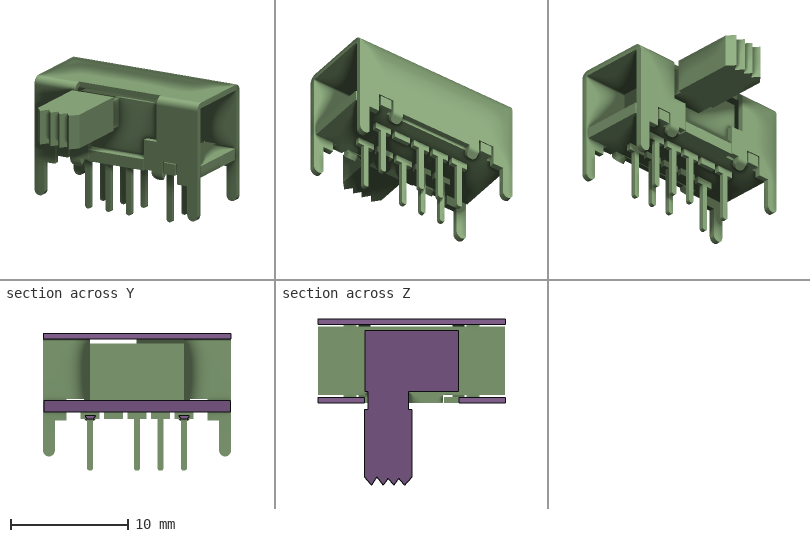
import cadquery as cq
import math


SHELL_LENGTH = 16.0
SHELL_WIDTH = 7.2
SHELL_TOP = 6.7
SHEET = 0.5
BEND_INSIDE = 0.15
BEND_OUTSIDE = BEND_INSIDE + SHEET
OUTER_Y = SHELL_WIDTH / 2
INNER_Y = OUTER_Y - SHEET

LEG_WIDTH = 1.0
LEG_END = -3.8
SHOULDER_Z = -0.75
NOTCH_INNER_X = 4.5
NOTCH_OUTER_X = 6.0
NOTCH_TOP = 1.1
SKIRT_BOTTOM = 0.1

WINDOW_LENGTH = 8.0
WINDOW_SILL = 2.75
WINDOW_DEPTH = 0.7
THROAT_LENGTH = 5.5

EAR_WIDTH = 1.0
EAR_X = NOTCH_INNER_X - EAR_WIDTH / 2
EAR_BEND_Z = -0.02
EAR_LENGTH = 0.6
EAR_ANGLE = 45
EAR_CORNER_RADIUS = 0.4

BASE_LENGTH = 15.9
BASE_WIDTH = 5.8
BASE_HEIGHT = 1.0
TAB_REACH = OUTER_Y
CENTRE_TAB_LENGTH = 5.4
SIDE_TAB_LENGTH = 1.1
SIDE_TAB_X = (NOTCH_INNER_X + NOTCH_OUTER_X) / 2

BLOCK_LENGTH = 8.0
BLOCK_WIDTH = 5.2
BLOCK_TOP = 5.8
KNOB_X = -2.0
KNOB_LENGTH = 4.05
KNOB_BOTTOM = 3.25
KNOB_TOP = 6.25
KNOB_START_Y = -4.1
KNOB_TIP_Y = -10.6
STEM_LENGTH = 3.5
STEM_TOP = 5.75
TOOTH_DEPTH = 0.7
SHALLOW_VALLEY_DEPTH = 0.58
TOOTH_TIPS = (0.6, 1.6, 2.5, 3.42)
TOOTH_VALLEYS = (1.06, 2.02, 2.92)

PIN_PITCH = 2.0
PIN_ROW_Y = 1.25
PIN_THICKNESS = 0.4
PIN_WIDTH = 0.5
PIN_END = -5.0
PIN_TIP_RADIUS = 0.2
FLANGE_WIDTH = 1.6
FLANGE_DEPTH = 0.6
FLANGE_COLUMNS = (-2, -1, 0, 1, 2)
PIN_COLUMNS = (-2, -1, 0, 2)


def box(x_range, y_range, z_range):
    """A box between two coordinates along each axis."""
    corner = (x_range[0], y_range[0], z_range[0])
    size = (x_range[1] - x_range[0], y_range[1] - y_range[0], z_range[1] - z_range[0])
    return cq.Workplane("XY").box(*size, centered=False).translate(corner)


def bent_sheet():
    """The sheet folded into an upside-down U, down to the leg ends."""
    height = SHELL_TOP - LEG_END
    outside = (
        box((-SHELL_LENGTH / 2, SHELL_LENGTH / 2), (-OUTER_Y, OUTER_Y), (LEG_END, SHELL_TOP))
        .edges("|X and >Z")
        .fillet(BEND_OUTSIDE)
    )
    inside = (
        cq.Workplane("XY")
        .box(SHELL_LENGTH, 2 * INNER_Y, height, centered=(True, True, False))
        .translate((0, 0, LEG_END - SHEET))
        .edges("|X and >Z")
        .fillet(BEND_INSIDE)
    )
    return outside.cut(inside)


def wall_outline():
    """The side wall's outline: round-ended legs, shoulders, notches and the skirt."""
    end = SHELL_LENGTH / 2
    leg_inner = end - LEG_WIDTH
    leg_centre = end - LEG_WIDTH / 2
    leg_round = LEG_END + LEG_WIDTH / 2
    return (
        cq.Workplane("XZ")
        .moveTo(-end, SHELL_TOP)
        .lineTo(-end, leg_round)
        .threePointArc((-leg_centre, LEG_END), (-leg_inner, leg_round))
        .lineTo(-leg_inner, SHOULDER_Z)
        .lineTo(-NOTCH_OUTER_X, SHOULDER_Z)
        .lineTo(-NOTCH_OUTER_X, NOTCH_TOP)
        .lineTo(-NOTCH_INNER_X, NOTCH_TOP)
        .lineTo(-NOTCH_INNER_X, SKIRT_BOTTOM)
        .lineTo(NOTCH_INNER_X, SKIRT_BOTTOM)
        .lineTo(NOTCH_INNER_X, NOTCH_TOP)
        .lineTo(NOTCH_OUTER_X, NOTCH_TOP)
        .lineTo(NOTCH_OUTER_X, SHOULDER_Z)
        .lineTo(leg_inner, SHOULDER_Z)
        .lineTo(leg_inner, leg_round)
        .threePointArc((leg_centre, LEG_END), (end, leg_round))
        .lineTo(end, SHELL_TOP)
        .close()
        .extrude(OUTER_Y, both=True)
    )


def front_window():
    """The T-shaped opening in the front wall for the slider stem and the base's centre tab."""
    depth = (-OUTER_Y, -OUTER_Y + WINDOW_DEPTH)
    window = box((-WINDOW_LENGTH / 2, WINDOW_LENGTH / 2), depth, (WINDOW_SILL, SHELL_TOP))
    throat = box((-THROAT_LENGTH / 2, THROAT_LENGTH / 2), depth, (SKIRT_BOTTOM, WINDOW_SILL))
    return window.union(throat)


def front_ear(x):
    """A round-cornered strip below the front wall, bent inward around the wall's inner face."""
    strip_top = SKIRT_BOTTOM - EAR_BEND_Z
    bend = (
        cq.Workplane("YZ")
        .moveTo(0, strip_top)
        .lineTo(-SHEET, strip_top)
        .lineTo(-SHEET, 0)
        .radiusArc(
            (
                -SHEET * math.cos(math.radians(EAR_ANGLE)),
                -SHEET * math.sin(math.radians(EAR_ANGLE)),
            ),
            -SHEET,
        )
        .lineTo(0, 0)
        .close()
        .extrude(EAR_WIDTH / 2, both=True)
    )
    flap = (
        box((-EAR_WIDTH / 2, EAR_WIDTH / 2), (-SHEET, 0), (-EAR_LENGTH, 0))
        .edges("|Y and <Z")
        .fillet(EAR_CORNER_RADIUS)
        .rotate((0, 0, 0), (1, 0, 0), EAR_ANGLE)
    )
    return bend.union(flap).translate((x, -INNER_Y, EAR_BEND_Z))


def build_shell():
    shell = bent_sheet().intersect(wall_outline()).cut(front_window())
    for x in (-EAR_X, EAR_X):
        ear = front_ear(x)
        shell = shell.union(ear).union(ear.mirror("XZ"))
    return shell


def base_plate():
    """The plate with a centre tab at the front and side tabs that enter the shell's notches."""
    height = (0, BASE_HEIGHT)
    plate = box((-BASE_LENGTH / 2, BASE_LENGTH / 2), (-BASE_WIDTH / 2, BASE_WIDTH / 2), height)
    centre_tab = box((-CENTRE_TAB_LENGTH / 2, CENTRE_TAB_LENGTH / 2), (-TAB_REACH, 0), height)
    plate = plate.union(centre_tab)
    for x in (-SIDE_TAB_X, SIDE_TAB_X):
        tab_span = (x - SIDE_TAB_LENGTH / 2, x + SIDE_TAB_LENGTH / 2)
        plate = plate.union(box(tab_span, (-TAB_REACH, TAB_REACH), height))
    return plate


def knob():
    """The finger knob, with four grip teeth across its front end."""
    left = KNOB_X - KNOB_LENGTH / 2
    right = KNOB_X + KNOB_LENGTH / 2
    shoulder_y = KNOB_TIP_Y + TOOTH_DEPTH
    shallow_y = KNOB_TIP_Y + SHALLOW_VALLEY_DEPTH
    valley_depths = (shoulder_y, shallow_y, shallow_y)
    points = [(left, KNOB_START_Y), (left, shoulder_y)]
    for tip, valley, valley_y in zip(TOOTH_TIPS, TOOTH_VALLEYS, valley_depths):
        points.append((left + tip, KNOB_TIP_Y))
        points.append((left + valley, valley_y))
    points.append((left + TOOTH_TIPS[-1], KNOB_TIP_Y))
    points += [(right, shoulder_y), (right, KNOB_START_Y)]
    profile = cq.Workplane("XY").workplane(offset=KNOB_BOTTOM).polyline(points).close()
    return profile.extrude(KNOB_TOP - KNOB_BOTTOM)


def slider():
    """The block on the base, the stem through the window and the knob outside."""
    block = box(
        (-BLOCK_LENGTH / 2, BLOCK_LENGTH / 2),
        (-BLOCK_WIDTH / 2, BLOCK_WIDTH / 2),
        (BASE_HEIGHT, BLOCK_TOP),
    )
    stem = box(
        (KNOB_X - STEM_LENGTH / 2, KNOB_X + STEM_LENGTH / 2),
        (KNOB_START_Y, -BLOCK_WIDTH / 2),
        (KNOB_BOTTOM, STEM_TOP),
    )
    return block.union(stem).union(knob())


def terminal(column, y, has_pin):
    """A wide flange under the base, with a narrow round-cornered pin where there is one."""
    x = column * PIN_PITCH
    thickness = (y - PIN_THICKNESS / 2, y + PIN_THICKNESS / 2)
    flange = box((x - FLANGE_WIDTH / 2, x + FLANGE_WIDTH / 2), thickness, (-FLANGE_DEPTH, 0))
    if not has_pin:
        return flange
    pin = (
        box((x - PIN_WIDTH / 2, x + PIN_WIDTH / 2), thickness, (PIN_END, 0))
        .edges("|Y and <Z")
        .fillet(PIN_TIP_RADIUS)
    )
    return flange.union(pin)


def build_switch_body():
    body = base_plate().union(slider())
    for y in (-PIN_ROW_Y, PIN_ROW_Y):
        for column in FLANGE_COLUMNS:
            body = body.union(terminal(column, y, column in PIN_COLUMNS))
    return body


shell = build_shell()
switch_body = build_switch_body()
result = cq.Compound.makeCompound([shell.val(), switch_body.val()])